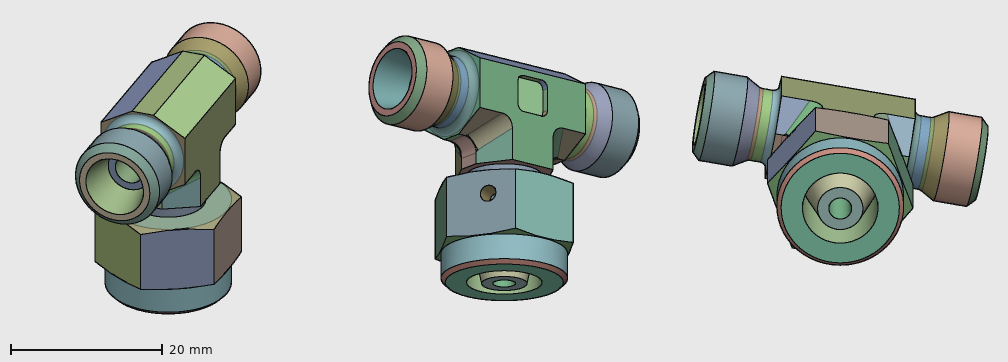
import cadquery as cq
import math


across_flats = 12.0
half_flats = across_flats / 2
half_height = 6.05
run_length = 18.0
stem_end_z = -9.58
crotch_radius = 2.0

overall_length = 38.0
thread_radius = 12.0 / 2
end_chamfer = 1.0
thread_length = 5.45
neck_radius = 9.7 / 2
relief_fillet = 1.0
runout_angle = math.radians(30)

run_bore = 4.0
stem_bore = 3.0
seat_mouth_diameter = 8.2
nose_diameter = 6.0
cone_half_angle = math.radians(12)

spigot_diameter = 10.0
spigot_end_z = -24.62

panel_side = 5.0
panel_corner_radius = 1.0
panel_depth = 1.0

nut_flats = 17.0
nut_top_z = -11.45
nut_hex_height = 9.0
nut_end_z = -24.47
nut_round_diameter = 16.8
collar_chamfer = 0.57
hex_chamfer_angle = math.radians(15)
side_hole_diameter = 2.2
side_hole_drop = 3.3
side_hole_offset = 1.0
side_hole_turn = 60


def truncated_hexagon(plane):
    """Hexagon with flats at +-X, its two points cut off level at half_height."""
    corner_height = half_flats * math.tan(math.radians(30))
    cut_half_width = (2 * corner_height - half_height) / math.tan(math.radians(30))
    upper = [
        (half_flats, corner_height),
        (cut_half_width, half_height),
        (-cut_half_width, half_height),
        (-half_flats, corner_height),
    ]
    lower = [(-x, -y) for x, y in upper]
    return cq.Workplane(plane).polyline(upper + lower).close()


def make_hex_tee():
    """Run and stem bars of the same section, blended along their crotches."""
    run = truncated_hexagon("XZ").extrude(run_length / 2, both=True)
    stem = truncated_hexagon("XY").extrude(stem_end_z)
    margin = 0.05
    reach_x = half_flats - margin
    reach_y = half_height + margin
    crotch_zone = cq.selectors.BoxSelector(
        (-reach_x, -reach_y, -reach_y),
        (reach_x, reach_y, -margin),
    )
    return run.union(stem).edges(crotch_zone).fillet(crotch_radius)


def make_port():
    """Threaded end at +Y: chamfered thread, 30 degree runout and filleted neck."""
    end_y = overall_length / 2
    body_y = run_length / 2
    thread_end_y = end_y - thread_length
    runout_length = (thread_radius - neck_radius) / math.tan(runout_angle)
    runout_foot_y = thread_end_y - runout_length
    tangent_length = relief_fillet * math.tan(runout_angle / 2)
    arc_start = (
        neck_radius + tangent_length * math.sin(runout_angle),
        runout_foot_y + tangent_length * math.cos(runout_angle),
    )
    profile = (
        cq.Workplane("XY")
        .moveTo(0, body_y)
        .lineTo(0, end_y)
        .lineTo(thread_radius - end_chamfer, end_y)
        .lineTo(thread_radius, end_y - end_chamfer)
        .lineTo(thread_radius, thread_end_y)
        .lineTo(*arc_start)
        .tangentArcPoint((neck_radius, runout_foot_y - tangent_length), relative=False)
        .lineTo(neck_radius, body_y + relief_fillet)
        .tangentArcPoint((neck_radius + relief_fillet, body_y), relative=False)
        .close()
    )
    return profile.revolve(360, (0, 0), (0, 1))


def make_seat():
    """Conical tube seat to cut from the +Y port."""
    mouth_radius = seat_mouth_diameter / 2
    floor_radius = nose_diameter / 2
    end_y = overall_length / 2
    floor_y = end_y - (mouth_radius - floor_radius) / math.tan(cone_half_angle)
    profile = cq.Workplane("XY").polyline(
        [(0, floor_y), (floor_radius, floor_y), (mouth_radius, end_y), (0, end_y)]
    )
    return profile.close().revolve(360, (0, 0), (0, 1))


def make_spigot():
    """Cylinder below the stem, tapering to the nose."""
    spigot_radius = spigot_diameter / 2
    nose_radius = nose_diameter / 2
    taper_start_z = spigot_end_z + (spigot_radius - nose_radius) / math.tan(cone_half_angle)
    profile = cq.Workplane("XZ").polyline(
        [
            (0, stem_end_z),
            (spigot_radius, stem_end_z),
            (spigot_radius, taper_start_z),
            (nose_radius, spigot_end_z),
            (0, spigot_end_z),
        ]
    )
    return profile.close().revolve(360, (0, 0), (0, 1))


def make_panel_recess():
    recess = cq.Workplane("YZ", origin=(-half_flats, 0, 0)).rect(panel_side, panel_side)
    return recess.extrude(panel_depth).edges("|X").fillet(panel_corner_radius)


def make_tee():
    tee = make_hex_tee().union(make_spigot())
    port = make_port()
    seat = make_seat()
    for end_port in (port, port.mirror("XZ")):
        tee = tee.union(end_port)
    for end_seat in (seat, seat.mirror("XZ")):
        tee = tee.cut(end_seat)
    tee = tee.cut(cq.Workplane("XZ").circle(run_bore / 2).extrude(overall_length / 2, both=True))
    tee = tee.cut(cq.Workplane("XY").circle(stem_bore / 2).extrude(spigot_end_z))
    return tee.cut(make_panel_recess()).solids()


def make_nut_hexagon():
    """Hexagon with flats at +-X and its corners bevelled at both ends."""
    corner_radius = nut_flats / 2 / math.cos(math.radians(30))
    round_radius = nut_round_diameter / 2
    bevel_drop = (corner_radius - round_radius) * math.tan(hex_chamfer_angle)
    nut_hex_end_z = nut_top_z - nut_hex_height
    hexagon = (
        cq.Workplane("XY", origin=(0, 0, nut_top_z))
        .polygon(6, 2 * corner_radius)
        .extrude(-nut_hex_height)
        .rotate((0, 0, 0), (0, 0, 1), 30)
    )
    envelope = cq.Workplane("XZ").polyline(
        [
            (0, nut_top_z),
            (round_radius, nut_top_z),
            (corner_radius, nut_top_z - bevel_drop),
            (corner_radius, nut_hex_end_z + bevel_drop),
            (round_radius, nut_hex_end_z),
            (0, nut_hex_end_z),
        ]
    )
    return hexagon.intersect(envelope.close().revolve(360, (0, 0), (0, 1)))


def make_side_hole():
    """Hole square to one flat, beside its middle, reaching into the nut bore."""
    hole = (
        cq.Workplane("YZ", origin=(-nut_flats / 2, 0, nut_top_z - side_hole_drop))
        .center(-side_hole_offset, 0)
        .circle(side_hole_diameter / 2)
        .extrude(nut_flats / 2)
    )
    return hole.rotate((0, 0, 0), (0, 0, 1), -side_hole_turn)


def make_nut():
    collar = (
        cq.Workplane("XY", origin=(0, 0, nut_end_z))
        .circle(nut_round_diameter / 2)
        .extrude(nut_top_z - nut_hex_height - nut_end_z)
        .faces("<Z")
        .chamfer(collar_chamfer)
    )
    bore = (
        cq.Workplane("XY", origin=(0, 0, nut_end_z))
        .circle(spigot_diameter / 2)
        .extrude(nut_top_z - nut_end_z)
    )
    return make_nut_hexagon().union(collar).cut(bore).cut(make_side_hole()).solids()


tee = make_tee()
nut = make_nut()

result = cq.Compound.makeCompound([tee.val(), nut.val()])